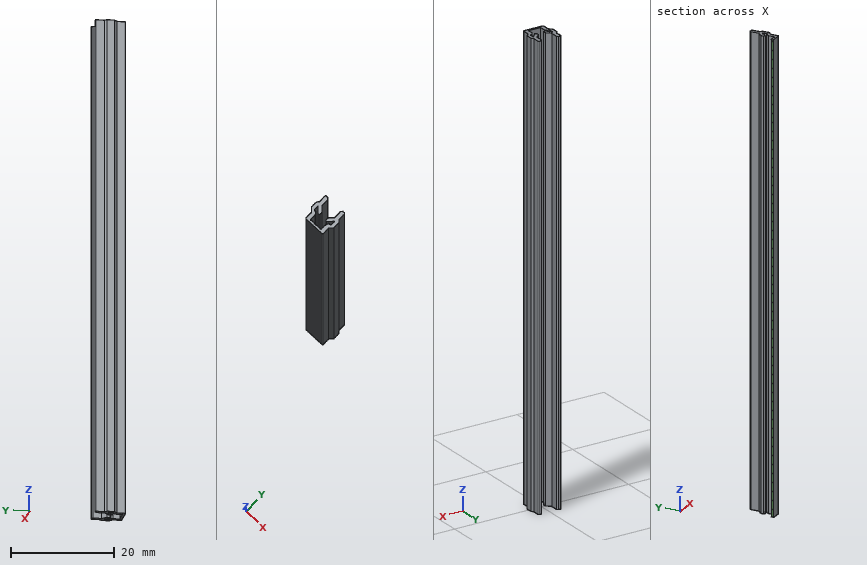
import cadquery as cq

length = 100.0
width = 6.0
depth = 6.0
half_width = width / 2
front = -depth / 2
back = depth / 2

floor_thickness = 0.5
wall_outer = 2.3
wall_inner = 1.4
corner_round = 0.2

arm_outer = 2.6
arm_inner = 1.7
arm_lead_in = 0.3

shoulder_back = 1.3
shoulder_flat_back = 0.8
shoulder_flat_front = -0.6
shoulder_front = -1.3

pocket_outer = 2.2
pocket_back = 0.4
pocket_front = -0.6
pocket_mouth = 1.8
wall_slope_end = -1.2

hook_root = 1.0
hook_tip = 0.8
hook_tip_back = 0.1
hook_tip_front = -0.5
hook_end = 1.1
hook_end_front = -0.7
hook_inner = 1.4
hook_inner_front = -0.4
hook_neck = 2.1


def half_profile():
    """Outline of the +X half, starting at the outside of the base."""
    return (
        cq.Workplane("XY")
        .moveTo(0, front)
        .lineTo(wall_outer, front)
        .lineTo(wall_outer, shoulder_front)
        .lineTo(half_width, shoulder_flat_front)
        .lineTo(half_width, shoulder_flat_back)
        .lineTo(arm_outer, shoulder_back)
        .lineTo(arm_outer, back)
        .lineTo(arm_inner + arm_lead_in, back)
        .lineTo(arm_inner, back - arm_lead_in)
        .lineTo(arm_inner, hook_root)
        .lineTo(hook_tip, hook_tip_back)
        .lineTo(hook_tip, hook_tip_front)
        .lineTo(hook_end, hook_end_front)
        .lineTo(hook_inner, hook_inner_front)
        .lineTo(hook_neck, pocket_back)
        .lineTo(pocket_outer, pocket_back)
        .lineTo(pocket_outer, pocket_front)
        .lineTo(pocket_mouth, pocket_front)
        .lineTo(wall_inner, wall_slope_end)
        .lineTo(wall_inner, front + floor_thickness)
        .lineTo(0, front + floor_thickness)
        .close()
    )


def round_outer_corners(half):
    """Round the outer corners of the base and of the arm end."""
    corners = ((wall_outer, front), (arm_outer, back))
    for x, y in corners:
        half = half.edges(cq.selectors.NearestToPointSelector((x, y, 0))).fillet(corner_round)
    return half


half = half_profile().extrude(length / 2, both=True)
half = round_outer_corners(half)
result = half.union(half.mirror("YZ")).clean()